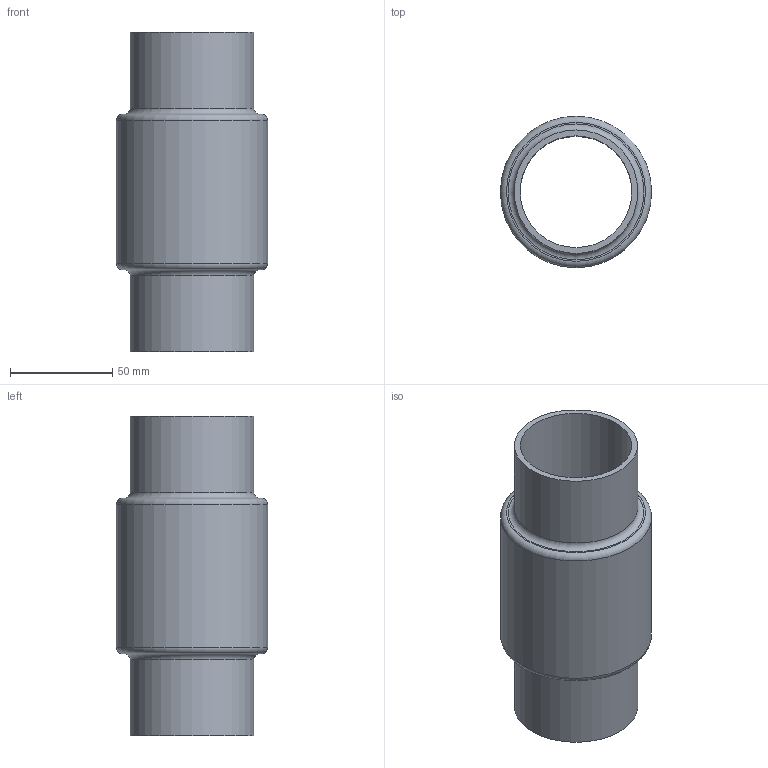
import cadquery as cq

total_length = 156.0
pipe_outer_diameter = 60.3
pipe_wall = 2.9
sleeve_diameter = 73.8
sleeve_length = 76.0
rim_radius = 3.0
root_radius = 3.0

pipe_radius = pipe_outer_diameter / 2
bore_radius = pipe_radius - pipe_wall
sleeve_radius = sleeve_diameter / 2
pipe_end = total_length / 2
sleeve_face = sleeve_length / 2


def make_half_section():
    """Wall section in the XZ plane, drawn from the bottom pipe end up to the top one."""
    return (
        cq.Workplane("XZ")
        .moveTo(bore_radius, -pipe_end)
        .lineTo(pipe_radius, -pipe_end)
        .lineTo(pipe_radius, -sleeve_face - root_radius)
        .radiusArc((pipe_radius + root_radius, -sleeve_face), root_radius)
        .lineTo(sleeve_radius - rim_radius, -sleeve_face)
        .radiusArc((sleeve_radius, -sleeve_face + rim_radius), -rim_radius)
        .lineTo(sleeve_radius, sleeve_face - rim_radius)
        .radiusArc((sleeve_radius - rim_radius, sleeve_face), -rim_radius)
        .lineTo(pipe_radius + root_radius, sleeve_face)
        .radiusArc((pipe_radius, sleeve_face + root_radius), root_radius)
        .lineTo(pipe_radius, pipe_end)
        .lineTo(bore_radius, pipe_end)
        .close()
    )


result = make_half_section().revolve(360, (0, 0, 0), (0, 1, 0))